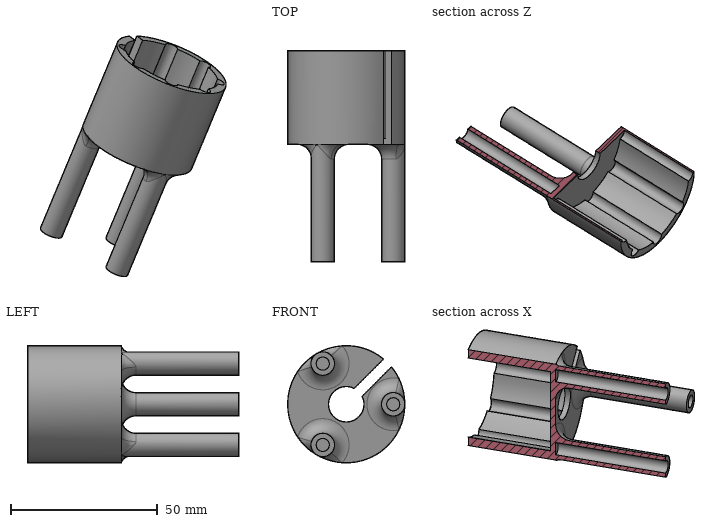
import cadquery as cq
import math

total_length = 72.0
body_diameter = 40.0
body_length = 32.0
wall = 3.0
front_plate = 2.0
bore_diameter = 12.0
slot_width = 3.8
slot_angle = 45.0
leg_diameter = 8.0
leg_hole_diameter = 4.5
leg_rim_gap = 0.00036
leg_angles = (0.0, 120.0, 240.0)
root_fillet = 5.0
groove_diameter = 4.5
groove_positions = 8
root_edge_margin = 0.1

body_radius = body_diameter / 2
cavity_radius = body_radius - wall
cavity_length = body_length - front_plate
leg_length = total_length - body_length
leg_circle_radius = body_radius - leg_diameter / 2 - leg_rim_gap
leg_centers = [
    (
        leg_circle_radius * math.cos(math.radians(angle)),
        leg_circle_radius * math.sin(math.radians(angle)),
    )
    for angle in leg_angles
]


def front_plane(y=0.0):
    """Plane facing -Y, with local X along +X and local Y along +Z."""
    return cq.Workplane("XZ", origin=(0, y, 0))


def make_slot():
    """Radial slot from the bore axis out through the rim."""
    slot = cq.Workplane("XY").box(
        body_diameter, body_length, slot_width, centered=(False, False, True)
    )
    return slot.rotate((0, 0, 0), (0, 1, 0), -slot_angle)


body = front_plane(body_length).circle(body_radius).extrude(body_length)
legs = front_plane().pushPoints(leg_centers).circle(leg_diameter / 2).extrude(leg_length)
body = body.union(legs)

root_edges = cq.selectors.BoxSelector(
    (-body_radius, -root_edge_margin, -body_radius),
    (body_radius, root_edge_margin, body_radius),
)
leg_roots = body.edges(root_edges).edges(cq.selectors.RadiusNthSelector(0))
body = leg_roots.fillet(root_fillet)

cavity = front_plane(body_length).circle(cavity_radius).extrude(cavity_length)

groove_pitch = 360 / groove_positions
grooves = (
    front_plane(body_length)
    .polarArray(cavity_radius, slot_angle + groove_pitch, 360 - 2 * groove_pitch, groove_positions - 1)
    .circle(groove_diameter / 2)
    .extrude(cavity_length)
)
cavity = cavity.union(grooves)

bore = front_plane(body_length).circle(bore_diameter / 2).extrude(body_length)
leg_holes = (
    front_plane(-leg_length)
    .pushPoints(leg_centers)
    .circle(leg_hole_diameter / 2)
    .extrude(-leg_length)
)

result = body.cut(cavity).cut(bore).cut(make_slot()).cut(leg_holes)